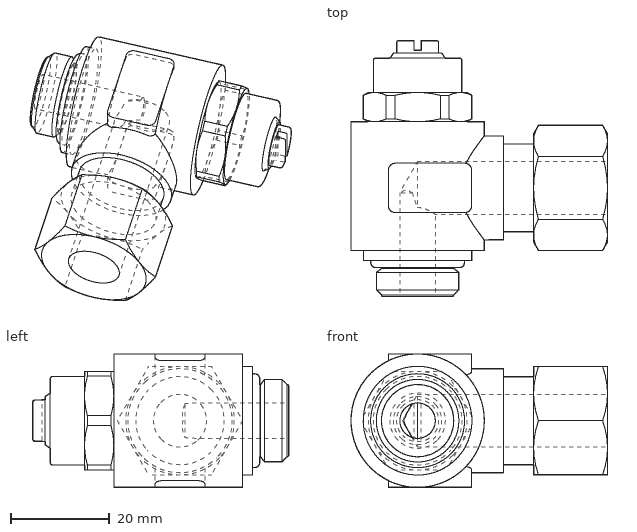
import cadquery as cq
import math


hex_half_angle = math.radians(30)
chamfer_angle = math.radians(30)

body_radius = 13.5
body_top = 13.4
body_bottom = -12.65

head_flats = 20.0
head_corner_radius = 11.0
head_top = 19.3

cap_radius = 9.0
cap_top = 26.25
cap_edge_round = 0.5
seat_base_radius = 5.6
seat_top_radius = 4.9
seat_top = 27.3
stem_radius = 4.25
stem_top = 29.8
stem_edge_round = 0.4
slot_width = 1.45
slot_depth = 1.9

flange_radius = 11.0
flange_bottom = -14.7
seal_radius = 9.5
seal_edge_round = 1.05
seal_bottom = -16.15
undercut_radius = 7.25
thread_radius = 8.35
thread_start = -16.25
thread_end = -22.0
thread_lead_in = 0.85
tip_radius = 6.95
tip_edge_round = 0.35

collar_radius = 10.55
collar_end = 17.4
branch_neck_radius = 8.95
nut_start = 23.45
nut_end = 38.4
nut_flats = 21.95

pad_left = -5.9
pad_right = 10.95
pad_width = 10.0
pad_corner_round = 1.45

inlet_radius = 3.6
outlet_radius = 5.35
inlet_straight_end = -1.05
drill_half_angle = math.radians(60)


def cylinder_y(radius, start, end):
    """Cylinder on the Y axis between two Y positions."""
    return cq.Workplane("XZ", origin=(0, start, 0)).circle(radius).extrude(start - end)


def cylinder_x(radius, start, end):
    """Cylinder on the X axis between two X positions."""
    return cq.Workplane("YZ", origin=(start, 0, 0)).circle(radius).extrude(end - start)


def chamfered_hex(flats, turned_radius, height):
    """Hexagon along +Z with corners on the X axis, cut by a cylinder and a 30 degree cone at each end."""
    end_radius = flats / 2
    corner_diameter = flats / math.cos(hex_half_angle)
    chamfer_height = (turned_radius - end_radius) * math.tan(chamfer_angle)
    prism = cq.Workplane("XY").polygon(6, corner_diameter).extrude(height)
    envelope = (
        cq.Workplane("XZ")
        .moveTo(0, 0)
        .lineTo(end_radius, 0)
        .lineTo(turned_radius, chamfer_height)
        .lineTo(turned_radius, height - chamfer_height)
        .lineTo(end_radius, height)
        .lineTo(0, height)
        .close()
        .revolve(360, (0, 0, 0), (0, 1, 0))
    )
    return prism.intersect(envelope)


def make_screw_head():
    head = chamfered_hex(head_flats, head_corner_radius, head_top - body_top)
    return head.rotate((0, 0, 0), (1, 0, 0), -90).translate((0, body_top, 0))


def make_cap_and_stem():
    cap = cylinder_y(cap_radius, head_top, cap_top).faces(">Y").edges().fillet(cap_edge_round)
    seat = (
        cq.Workplane("XY")
        .moveTo(0, cap_top)
        .lineTo(seat_base_radius, cap_top)
        .lineTo(seat_top_radius, seat_top)
        .lineTo(0, seat_top)
        .close()
        .revolve(360, (0, 0, 0), (0, 1, 0))
    )
    stem = cylinder_y(stem_radius, seat_top, stem_top).faces(">Y").edges().fillet(stem_edge_round)
    slot = cq.Workplane("XY").box(slot_width, slot_depth, 2 * stem_radius)
    slot = slot.translate((0, stem_top - slot_depth / 2, 0))
    return cap.union(seat).union(stem.cut(slot))


def make_threaded_end():
    flange = cylinder_y(flange_radius, body_bottom, flange_bottom)
    seal = cylinder_y(seal_radius, flange_bottom, seal_bottom).faces("<Y").edges().fillet(seal_edge_round)
    undercut = cylinder_y(undercut_radius, seal_bottom, thread_start)
    tip_chamfer_radius = tip_radius + tip_edge_round
    tip_chamfer_end = thread_end + tip_edge_round
    tip_chamfer_start = tip_chamfer_end + thread_radius - tip_chamfer_radius
    thread = (
        cq.Workplane("XY")
        .moveTo(0, thread_start)
        .lineTo(undercut_radius, thread_start)
        .lineTo(thread_radius, thread_start - thread_lead_in)
        .lineTo(thread_radius, tip_chamfer_start)
        .lineTo(tip_chamfer_radius, tip_chamfer_end)
        .radiusArc((tip_radius, thread_end), tip_edge_round)
        .lineTo(0, thread_end)
        .close()
        .revolve(360, (0, 0, 0), (0, 1, 0))
    )
    return flange.union(seal).union(undercut).union(thread)


def make_branch():
    collar = cylinder_x(collar_radius, 0, collar_end)
    neck = cylinder_x(branch_neck_radius, collar_end, nut_start)
    nut_corner_radius = nut_flats / 2 / math.cos(hex_half_angle)
    nut = chamfered_hex(nut_flats, nut_corner_radius, nut_end - nut_start)
    nut = nut.rotate((0, 0, 0), (0, 0, 1), 90).rotate((0, 0, 0), (0, 1, 0), 90)
    return collar.union(neck).union(nut.translate((nut_start, 0, 0)))


def make_pads():
    length = pad_right - pad_left
    pads = cq.Workplane("XY").box(length, pad_width, 2 * body_radius).edges("|Z").fillet(pad_corner_round)
    return pads.translate(((pad_left + pad_right) / 2, 0, 0))


def drilled_hole(radius, depth):
    """Drilled hole from the origin toward -Z, straight to the given depth and then conical."""
    tip_depth = depth + radius / math.tan(drill_half_angle)
    return (
        cq.Workplane("XZ")
        .lineTo(radius, 0)
        .lineTo(radius, -depth)
        .lineTo(0, -tip_depth)
        .close()
        .revolve(360, (0, 0, 0), (0, 1, 0))
    )


def make_passages():
    inlet = drilled_hole(inlet_radius, inlet_straight_end - thread_end).rotate((0, 0, 0), (1, 0, 0), 90)
    inlet = inlet.translate((0, thread_end, 0))
    outlet = drilled_hole(outlet_radius, nut_end).rotate((0, 0, 0), (0, 1, 0), 90)
    return inlet.union(outlet.translate((nut_end, 0, 0)))


body = cylinder_y(body_radius, body_bottom, body_top)
for section in (make_branch(), make_pads(), make_screw_head(), make_cap_and_stem(), make_threaded_end()):
    body = body.union(section)

result = body.cut(make_passages())